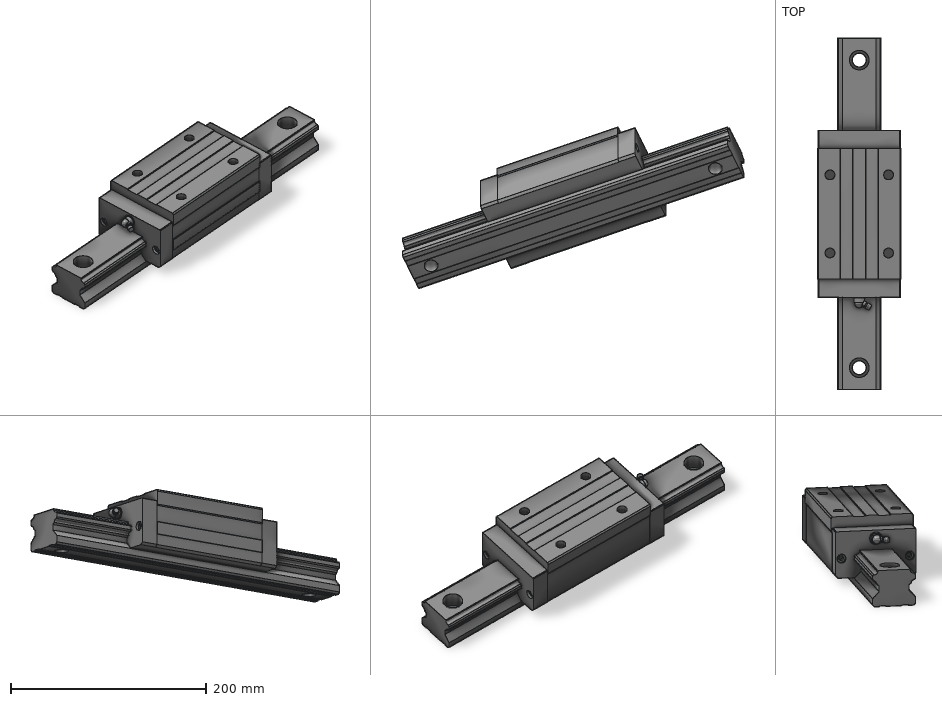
import cadquery as cq
import math


rail_length = 360.0
rail_width = 45.0
rail_height = 38.0
rail_crown_width = 34.0
rail_waist_width = 31.2
rail_foot_height = 8.8
rail_foot_chamfer = 2.0
lobe_bottom = 28.4
lobe_top = 32.4
lobe_chamfer = 1.4
crown_side_bottom = 36.4
lower_groove_bottom = 23.4
lower_groove_inset = 2.2
waist_top = 21.6
groove_sagitta = 0.8
underside_inner = 8.5
underside_outer = 15.3
underside_depth = 0.7
rail_hole_pitch = 315.0
rail_bore = 14.0
rail_counterbore = 20.0
rail_counterbore_depth = 17.0

carriage_length = 171.0
block_length = 133.6
block_width = 86.0
skirt_width = 83.4
cap_width = 84.0
carriage_bottom = 9.5
carriage_top = 70.0
skirt_top = 53.3
skirt_slope_height = 1.0
top_bevel_width = 1.2
top_bevel_height = 2.0
bottom_chamfer = 2.5
relief_inner = 6.3
relief_outer = 19.8
relief_depth = 0.8
relief_wall_run = 0.5
mount_spacing_x = 60.0
mount_spacing_y = 80.0
mount_diameter = 10.0
mount_depth = 17.0
cap_top = 58.5
cap_bevel_width = 0.9
cap_bevel_height = 0.6
cap_screw_offset = 35.7
cap_screw_height = 30.0
cap_screw_recess = 9.0
cap_screw_recess_depth = 3.0
cap_screw_bore = 4.8
cap_screw_bore_depth = 8.0
side_pad_bottom = 23.0
side_pad_top = 36.0

nipple_height = 50.0
flange_diameter = 13.0
flange_thickness = 0.4
barrel_diameter = 10.4
barrel_length = 5.4
elbow_radius = 4.7
elbow_distance = 6.0
spout_distance = 4.0
spout_angle = 30.0
spout_radius = 3.2
spout_neck_radius = 2.4
spout_tip_radius = 2.7
spout_neck_start = 7.0
spout_neck_end = 8.5
spout_taper_start = 10.5
spout_length = 13.2

half_rail = rail_length / 2
half_carriage = carriage_length / 2
half_block = block_length / 2
cap_thickness = half_carriage - half_block


def extrude_along_y(profile, y_start, length):
    """Extrude a closed profile, drawn in X and Z, from y_start toward +Y."""
    return profile.extrude(-length).translate((0, y_start, 0))


def mirrored_outline(right_side):
    """Close a right-hand chain of (x, z) corners with its mirror image."""
    left_side = [(-x, z) for x, z in reversed(right_side)]
    return cq.Workplane("XZ").polyline(right_side + left_side).close()


def box_between(x_range, y_range, z_range):
    size = [high - low for low, high in (x_range, y_range, z_range)]
    return cq.Workplane("XY").box(*size, centered=False).translate((x_range[0], y_range[0], z_range[0]))


def groove_middle(start, end):
    """Middle of a groove arc, sunk from its chord toward the rail's centre plane."""
    dx = end[0] - start[0]
    dz = end[1] - start[1]
    chord = math.hypot(dx, dz)
    middle_x = (start[0] + end[0]) / 2
    middle_z = (start[1] + end[1]) / 2
    return (middle_x - groove_sagitta * dz / chord, middle_z + groove_sagitta * dx / chord)


def rail_envelope(y_start, length):
    """Rail section without holes; it also forms the channel of the carriage."""
    half_width = rail_width / 2
    half_waist = rail_waist_width / 2
    half_crown = rail_crown_width / 2
    lobe_inset = half_width - lobe_chamfer
    flare_top = rail_foot_height + half_width - half_waist
    lower_groove_start = (half_waist + lower_groove_inset, lower_groove_bottom)
    lower_groove_end = (lobe_inset, lobe_bottom - lobe_chamfer)
    upper_groove_start = (lobe_inset, lobe_top + lobe_chamfer)
    upper_groove_end = (half_crown, crown_side_bottom)
    right_half = (
        cq.Workplane("XZ")
        .moveTo(0, 0)
        .lineTo(half_width - rail_foot_chamfer, 0)
        .lineTo(half_width, rail_foot_chamfer)
        .lineTo(half_width, rail_foot_height)
        .lineTo(half_waist, flare_top)
        .lineTo(half_waist, waist_top)
        .lineTo(*lower_groove_start)
        .threePointArc(groove_middle(lower_groove_start, lower_groove_end), lower_groove_end)
        .lineTo(half_width, lobe_bottom)
        .lineTo(half_width, lobe_top)
        .lineTo(*upper_groove_start)
        .threePointArc(groove_middle(upper_groove_start, upper_groove_end), upper_groove_end)
        .lineTo(half_crown, rail_height)
        .lineTo(0, rail_height)
        .close()
    )
    right_solid = extrude_along_y(right_half, y_start, length)
    return right_solid.union(right_solid.mirror("YZ")).clean()


def make_rail():
    rail = rail_envelope(-half_rail, rail_length)
    for side in (-1, 1):
        edges = sorted((side * underside_inner, side * underside_outer))
        rail = rail.cut(box_between(edges, (-half_rail, half_rail), (0, underside_depth)))
    return (
        rail.faces(">Z").workplane(origin=(0, 0, rail_height))
        .rarray(1, rail_hole_pitch, 1, 2)
        .cboreHole(rail_bore, rail_counterbore, rail_counterbore_depth)
    )


def make_block():
    """Steel middle of the carriage with its top relief strips, side pad and mounting holes."""
    skirt = skirt_width / 2
    wide = block_width / 2
    outline = mirrored_outline([
        (skirt - bottom_chamfer, carriage_bottom),
        (skirt, carriage_bottom + bottom_chamfer),
        (skirt, skirt_top),
        (wide, skirt_top + skirt_slope_height),
        (wide, carriage_top - top_bevel_height),
        (wide - top_bevel_width, carriage_top),
    ])
    block = extrude_along_y(outline, -half_block, block_length)
    for side in (-1, 1):
        strip = cq.Workplane("XZ").polyline([
            (side * relief_inner, carriage_top),
            (side * (relief_inner + relief_wall_run), carriage_top - relief_depth),
            (side * (relief_outer - relief_wall_run), carriage_top - relief_depth),
            (side * relief_outer, carriage_top),
        ]).close()
        block = block.cut(extrude_along_y(strip, -half_block, block_length))
    side_pad = box_between((skirt, wide), (-half_block, half_block), (side_pad_bottom, side_pad_top))
    return (
        block.union(side_pad)
        .faces(">Z").workplane(origin=(0, 0, carriage_top))
        .rarray(mount_spacing_x, mount_spacing_y, 2, 2)
        .hole(mount_diameter, mount_depth)
    )


def make_cap():
    """End cap on the -Y end of the block, with its two screw recesses."""
    half_width = cap_width / 2
    outline = mirrored_outline([
        (half_width - bottom_chamfer, carriage_bottom),
        (half_width, carriage_bottom + bottom_chamfer),
        (half_width, cap_top - cap_bevel_height),
        (half_width - cap_bevel_width, cap_top),
    ])
    cap = extrude_along_y(outline, -half_carriage, cap_thickness)
    screws = cq.Workplane("XZ", origin=(0, -half_carriage, cap_screw_height)).pushPoints(
        [(-cap_screw_offset, 0), (cap_screw_offset, 0)]
    )
    recesses = screws.circle(cap_screw_recess / 2).extrude(-cap_screw_recess_depth)
    bores = screws.circle(cap_screw_bore / 2).extrude(-cap_screw_bore_depth)
    return cap.cut(recesses).cut(bores)


def make_carriage():
    cap = make_cap()
    carriage = make_block().union(cap).union(cap.mirror("XZ"))
    return carriage.cut(rail_envelope(-half_carriage, carriage_length))


def make_nipple():
    """Elbow grease nipple standing on the -Y cap face."""
    foot = cq.Workplane("XZ", origin=(0, -half_carriage, nipple_height))
    flange = foot.circle(flange_diameter / 2).extrude(flange_thickness)
    barrel = foot.circle(barrel_diameter / 2).extrude(barrel_length)
    elbow_center = (0, -half_carriage - elbow_distance, nipple_height)
    elbow = cq.Workplane("XY").sphere(elbow_radius).translate(elbow_center)
    spout = (
        cq.Workplane("XY")
        .polyline([
            (0, 0),
            (0, spout_radius),
            (spout_neck_start, spout_radius),
            (spout_neck_start, spout_neck_radius),
            (spout_neck_end, spout_neck_radius),
            (spout_neck_end, spout_radius),
            (spout_taper_start, spout_radius),
            (spout_length, spout_tip_radius),
            (spout_length, 0),
        ])
        .close()
        .revolve(360, (0, 0, 0), (1, 0, 0))
        .rotate((0, 0, 0), (0, 0, 1), -spout_angle)
        .translate((0, -half_carriage - spout_distance, nipple_height))
    )
    return flange.union(barrel).union(elbow).union(spout)


rail = make_rail()
carriage = make_carriage()
nipple = make_nipple()

result = cq.Compound.makeCompound([rail.val(), carriage.val(), nipple.val()])